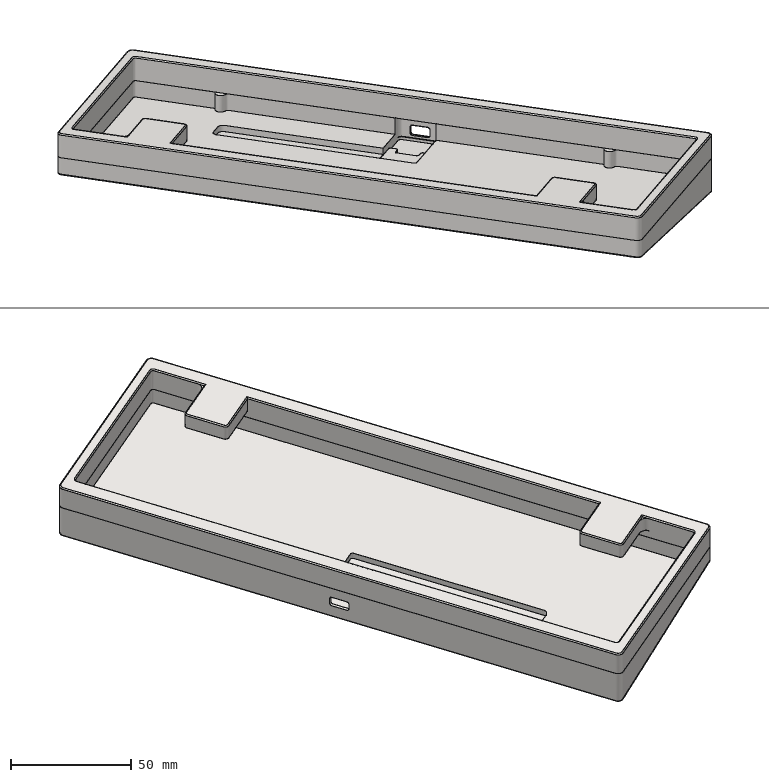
import cadquery as cq
import math


LENGTH = 257.5
WIDTH = 91.2
HEIGHT = 26.5
FRONT_HEIGHT = 18.8
FRAME_HEIGHT = 10.8
CORNER_RADIUS = 2.3
EDGE_CHAMFER = 0.5

OPENING_LENGTH = 248.3
OPENING_WIDTH = 77.3
OPENING_CORNER_RADIUS = 1.0
FLOOR_DEPTH = 18.3

TAB_INNER_X = 80.5
TAB_OUTER_X = 100.2
TAB_END_Y = -18.3
TAB_THICKNESS = 7.2
TAB_CORNER_RADIUS = 1.5
TAB_ROOT_RADIUS = 3.0

POST_X = 85.8
POST_RADIUS = 2.3
POST_ROOT_RADIUS = 1.0
POST_STANDOFF = 0.5

CHANNEL_LEFT_X = -81.1
CHANNEL_FRONT_Y = 13.7
CHANNEL_BACK_Y = 23.7
CHANNEL_DEPTH = 2.8
CHANNEL_LEFT_RADIUS = 2.3
CHANNEL_RIGHT_RADIUS = 1.0

BAY_WIDTH = 18.0
BAY_FRONT_Y = 17.5
BAY_BACK_Y = 44.3
BAY_DEPTH = 3.0
BAY_CORNER_RADIUS = 1.42

SOCKET_SHOULDER_Y = 31.5
SOCKET_NOSE_Y = 27.5
SOCKET_NOSE_WIDTH = 10.3
SOCKET_BACK_Y = 43.8
SOCKET_DEPTH = 4.5
SOCKET_RADIUS = 1.0

PORT_WIDTH = 8.8
PORT_HEIGHT = 4.6
PORT_CORNER_RADIUS = 1.0
PORT_BOTTOM_DEPTH = 20.4

TOP_Z = HEIGHT / 2
BOTTOM_Z = -HEIGHT / 2
FRONT_BOTTOM_Z = TOP_Z - FRONT_HEIGHT
SPLIT_Z = TOP_Z - FRAME_HEIGHT
FLOOR_Z = TOP_Z - FLOOR_DEPTH
TAB_BOTTOM_Z = TOP_Z - TAB_THICKNESS
PORT_BOTTOM_Z = TOP_Z - PORT_BOTTOM_DEPTH

BACK_Y = WIDTH / 2
OPENING_END_X = OPENING_LENGTH / 2
OPENING_BACK_Y = OPENING_WIDTH / 2
BAY_RIGHT_X = BAY_WIDTH / 2

POSITION_TOLERANCE = 0.03


def box(x_min, x_max, y_min, y_max, z_min, z_max):
    """Block given by its limits along each axis."""
    size = (x_max - x_min, y_max - y_min, z_max - z_min)
    return cq.Workplane("XY").box(*size, centered=False).translate((x_min, y_min, z_min))


def opening(z_min, z_max):
    """Space between the walls, with rounded corners."""
    space = box(-OPENING_END_X, OPENING_END_X, -OPENING_BACK_Y, OPENING_BACK_Y, z_min, z_max)
    return space.edges("|Z").fillet(OPENING_CORNER_RADIUS)


def outer_block():
    """Wedge-bottomed block with rounded corners and chamfered top and bottom rims."""
    side = [
        (-BACK_Y, FRONT_BOTTOM_Z),
        (BACK_Y, BOTTOM_Z),
        (BACK_Y, TOP_Z),
        (-BACK_Y, TOP_Z),
    ]
    block = cq.Workplane("YZ").polyline(side).close().extrude(LENGTH / 2, both=True)
    block = block.edges("|Z").fillet(CORNER_RADIUS)
    return block.faces(">Z or <Z").edges().chamfer(EDGE_CHAMFER)


def upright_edges(solid, xs, y):
    """Vertical edges of a solid that stand at the given x positions and y."""

    def is_wanted(edge):
        middle = edge.Center()
        return any(math.hypot(middle.x - x, middle.y - y) < POSITION_TOLERANCE for x in xs)

    return solid.edges("|Z").filter(is_wanted)


def tabbed_opening(height, margin=0.0):
    """Space inside the frame, running round the two tabs; the margin widens it all round."""
    end_x = OPENING_END_X + margin
    back_y = OPENING_BACK_Y + margin
    tab_inner_x = TAB_INNER_X + margin
    tab_outer_x = TAB_OUTER_X - margin
    tab_end_y = TAB_END_Y - margin
    right_half = [
        (tab_inner_x, -back_y),
        (tab_inner_x, tab_end_y),
        (tab_outer_x, tab_end_y),
        (tab_outer_x, -back_y),
        (end_x, -back_y),
        (end_x, back_y),
    ]
    left_half = [(-x, y) for x, y in reversed(right_half)]
    space = cq.Workplane("XY").polyline(right_half + left_half).close().extrude(height)

    tab_sides = (-tab_outer_x, -tab_inner_x, tab_inner_x, tab_outer_x)
    space = upright_edges(space, tab_sides, tab_end_y).fillet(TAB_CORNER_RADIUS - margin)
    for y in (-back_y, back_y):
        space = upright_edges(space, (-end_x, end_x), y).fillet(OPENING_CORNER_RADIUS + margin)
    return space


def cut_tabbed_opening(frame):
    """Opening beside the tabs, with rounded outer roots where the tabs leave the front wall."""
    space = tabbed_opening(TAB_THICKNESS)
    roots = (-TAB_OUTER_X, TAB_OUTER_X)
    space = upright_edges(space, roots, -OPENING_BACK_Y).fillet(TAB_ROOT_RADIUS)
    return frame.cut(space.translate((0, 0, TAB_BOTTOM_Z)))


def bevel_opening(frame):
    """Chamfer round the top of the opening and the tabs, with sharp tab roots."""
    bevel = tabbed_opening(2 * EDGE_CHAMFER, margin=EDGE_CHAMFER)
    bevel = bevel.faces("<Z").edges().chamfer(EDGE_CHAMFER)
    return frame.cut(bevel.translate((0, 0, TOP_Z - EDGE_CHAMFER)))


def make_frame():
    """Upper body: the walls above the split, with two tabs at the top of the front wall."""
    frame = outer_block().intersect(box(-LENGTH, LENGTH, -WIDTH, WIDTH, SPLIT_Z, TOP_Z))
    frame = frame.cut(opening(SPLIT_Z, TAB_BOTTOM_Z))
    frame = cut_tabbed_opening(frame)
    return bevel_opening(frame)


def add_posts(base):
    """Half-round posts with filleted roots, standing against the back wall."""
    for middle_x in (-POST_X, POST_X):
        post = cq.Workplane("XY").circle(POST_RADIUS).extrude(SPLIT_Z - FLOOR_Z)
        base = base.union(post.translate((middle_x, OPENING_BACK_Y - POST_STANDOFF, FLOOR_Z)))
        half_chord = math.sqrt(POST_RADIUS**2 - POST_STANDOFF**2)
        roots = (middle_x - half_chord, middle_x + half_chord)
        base = upright_edges(base, roots, OPENING_BACK_Y).fillet(POST_ROOT_RADIUS)
    return base


def cut_channel(base):
    """Shallow channel along the floor, ending level with the right side of the bay."""
    channel = box(
        CHANNEL_LEFT_X,
        BAY_RIGHT_X,
        CHANNEL_FRONT_Y,
        CHANNEL_BACK_Y,
        FLOOR_Z - CHANNEL_DEPTH,
        FLOOR_Z,
    )
    channel = channel.edges("|Z and <X").fillet(CHANNEL_LEFT_RADIUS)
    channel = channel.edges("|Z and >X and <Y").fillet(CHANNEL_RIGHT_RADIUS)
    return base.cut(channel)


def cut_bay(base):
    """Bay from the channel into the back wall, open up to the split."""
    bay_floor_z = FLOOR_Z - BAY_DEPTH
    bay = box(-BAY_RIGHT_X, BAY_RIGHT_X, BAY_FRONT_Y, BAY_BACK_Y, bay_floor_z, SPLIT_Z)
    return base.cut(bay.edges("|Z").fillet(BAY_CORNER_RADIUS))


def cut_socket(base):
    """Recess in the bay floor, as wide as the bay at the back and narrowed to a nose in front."""
    nose_x = SOCKET_NOSE_WIDTH / 2
    right_half = [
        (BAY_RIGHT_X, SOCKET_BACK_Y),
        (BAY_RIGHT_X, SOCKET_SHOULDER_Y),
        (nose_x, SOCKET_SHOULDER_Y),
        (nose_x, SOCKET_NOSE_Y),
    ]
    left_half = [(-x, y) for x, y in reversed(right_half)]
    socket = cq.Workplane("XY").polyline(right_half + left_half).close().extrude(SOCKET_DEPTH)
    for y in (SOCKET_SHOULDER_Y, SOCKET_NOSE_Y):
        socket = upright_edges(socket, (-nose_x, nose_x), y).fillet(SOCKET_RADIUS)
    socket = socket.edges("|Z and >Y").fillet(BAY_CORNER_RADIUS)
    return base.cut(socket.translate((0, 0, FLOOR_Z - SOCKET_DEPTH)))


def cut_port(base):
    """Rounded slot from the bay out through the back wall."""
    half_width = PORT_WIDTH / 2
    port_top_z = PORT_BOTTOM_Z + PORT_HEIGHT
    port = box(-half_width, half_width, OPENING_BACK_Y, BACK_Y, PORT_BOTTOM_Z, port_top_z)
    return base.cut(port.edges("|Y").fillet(PORT_CORNER_RADIUS))


def make_base():
    """Lower body: floor and walls below the split, with the posts and the cable cuts."""
    base = outer_block().intersect(box(-LENGTH, LENGTH, -WIDTH, WIDTH, BOTTOM_Z, SPLIT_Z))
    base = base.cut(opening(FLOOR_Z, SPLIT_Z))
    base = add_posts(base)
    base = cut_channel(base)
    base = cut_bay(base)
    base = cut_socket(base)
    return cut_port(base)


frame = make_frame()
base = make_base()
result = cq.Compound.makeCompound([frame.val(), base.val()])